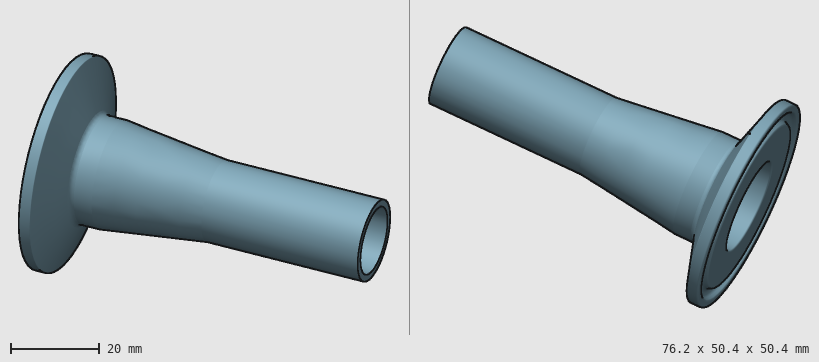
import cadquery as cq
import math

total_length = 76.2
large_tube_od = 25.4
large_bore = 22.1
small_tube_od = 19.05
small_bore = 15.8
reducer_start = 12.7
reducer_end = total_length / 2

flange_od = 50.4
rim_width = 2.9
back_angle = 20.0
neck_fillet = 1.3
rim_front_fillet = 0.45
rim_back_fillet = 0.2
bore_edge_fillet = 0.4

groove_diameter = 43.6
groove_width = 3.7
groove_wall_angle = 65.0
groove_floor_radius = 1.2
groove_edge_fillet = 0.5


def fillet_circle(body, x, radius, fillet):
    """Round the circular edge with the given radius at the given X."""
    tolerance = 0.01
    circles = body.edges("%CIRCLE").vals()
    at_x = [edge for edge in circles if abs(edge.Center().x - x) < tolerance]
    wanted = [edge for edge in at_x if abs(edge.radius() - radius) < tolerance]
    return body.newObject(wanted).fillet(fillet)


def make_body():
    """Revolve the wall section of flange, neck, reducer and tube about the X axis."""
    flange_r = flange_od / 2
    neck_r = large_tube_od / 2
    flange_back = rim_width + (flange_r - neck_r) * math.tan(math.radians(back_angle))
    section = (
        cq.Workplane("XY")
        .moveTo(0, large_bore / 2)
        .lineTo(0, flange_r)
        .lineTo(rim_width, flange_r)
        .lineTo(flange_back, neck_r)
        .lineTo(reducer_start, neck_r)
        .lineTo(reducer_end, small_tube_od / 2)
        .lineTo(total_length, small_tube_od / 2)
        .lineTo(total_length, small_bore / 2)
        .lineTo(reducer_end, small_bore / 2)
        .lineTo(reducer_start, large_bore / 2)
        .close()
    )
    body = section.revolve(360, (0, 0, 0), (1, 0, 0))
    return fillet_circle(body, flange_back, neck_r, neck_fillet)


def groove_cutter():
    """Return the ring that cuts the groove, with every arc tangent to the wall it meets."""
    middle_r = groove_diameter / 2
    wall_angle = math.radians(groove_wall_angle)

    mouth = groove_width / 2
    edge_mid = mouth - groove_edge_fillet * math.sin(wall_angle / 2)
    wall_top = mouth - groove_edge_fillet * math.sin(wall_angle)
    wall_foot = groove_floor_radius * math.sin(wall_angle)

    edge_mid_x = groove_edge_fillet * (1 - math.cos(wall_angle / 2))
    wall_top_x = groove_edge_fillet * (1 - math.cos(wall_angle))
    wall_foot_x = wall_top_x + (wall_top - wall_foot) * math.tan(wall_angle)
    floor_x = wall_foot_x + groove_floor_radius * (1 - math.cos(wall_angle))

    return (
        cq.Workplane("XY")
        .moveTo(0, middle_r - mouth)
        .threePointArc((edge_mid_x, middle_r - edge_mid), (wall_top_x, middle_r - wall_top))
        .lineTo(wall_foot_x, middle_r - wall_foot)
        .threePointArc((floor_x, middle_r), (wall_foot_x, middle_r + wall_foot))
        .lineTo(wall_top_x, middle_r + wall_top)
        .threePointArc((edge_mid_x, middle_r + edge_mid), (0, middle_r + mouth))
        .close()
        .revolve(360, (0, 0, 0), (1, 0, 0))
    )


body = make_body()
body = fillet_circle(body, 0, flange_od / 2, rim_front_fillet)
body = fillet_circle(body, rim_width, flange_od / 2, rim_back_fillet)
body = fillet_circle(body, 0, large_bore / 2, bore_edge_fillet)
result = body.cut(groove_cutter())